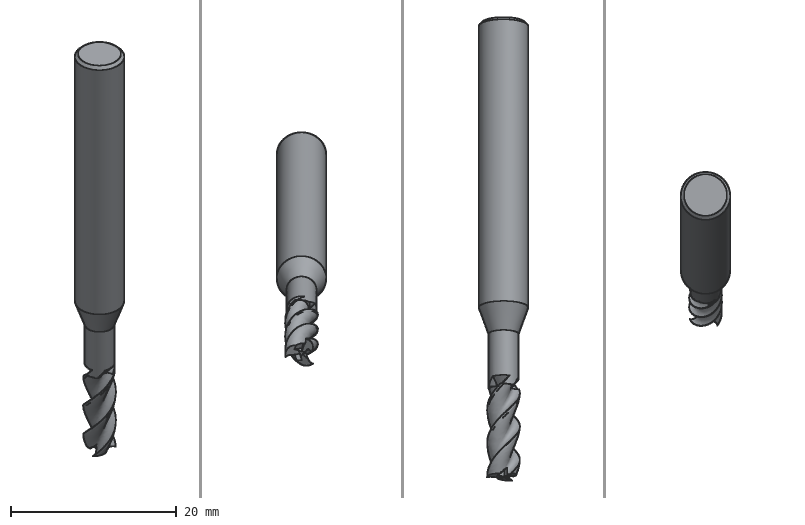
import cadquery as cq
import math

total_length = 57.0
shank_radius = 2.99
shank_chamfer = 0.4
neck_radius = 1.8
cutter_radius = 2.0

cutter_length = 11.25
neck_top = 17.95
shank_bottom = 21.25

flute_count = 3
helix_angle = 45.0
flute_spacing = 360.0 / flute_count
first_edge_angle = 60.0
lead = 2 * math.pi * cutter_radius / math.tan(math.radians(helix_angle))
core_radius = 0.9

land_span = 12.0
land_heel_radius = 1.95
relief_middle_angle = 42.0
relief_middle_radius = 1.6
relief_heel_angle = 74.0
relief_heel_radius = 1.1
flute_floor_angle = 98.0

runout_length = 1.1
runout_land_radius = 2.0

gash_depth = 0.95
gash_width = 1.0
gash_start = 0.2

end_relief_height = 0.2


def polar(radius, angle):
    """Point in the plane across the axis; the angle is in degrees."""
    turn = math.radians(angle)
    return (radius * math.cos(turn), radius * math.sin(turn))


def tooth_angles():
    """Angles of the cutting edges at the tip."""
    return [first_edge_angle + i * flute_spacing for i in range(flute_count)]


def fluted_bar(start_height, length, back_radius):
    """Twisted bar with the flute cross-section, continuing the helix at any height.

    back_radius is the radius halfway along the relief of each tooth.
    """
    start_turn = 360.0 * start_height / lead
    edge_angles = [angle + start_turn for angle in tooth_angles()]
    section = cq.Workplane("XY", origin=(0, 0, start_height)).moveTo(*polar(cutter_radius, edge_angles[0]))
    for edge in edge_angles:
        section = (
            section.lineTo(*polar(land_heel_radius, edge + land_span))
            .threePointArc(
                polar(back_radius, edge + relief_middle_angle),
                polar(relief_heel_radius, edge + relief_heel_angle),
            )
            .threePointArc(
                polar(core_radius, edge + flute_floor_angle),
                polar(cutter_radius, edge + flute_spacing),
            )
        )
    return section.close().twistExtrude(length, 360.0 * length / lead)


def end_wedge(angle, corners):
    """Wedge beside one end cutting edge; corners are (offset behind the edge, height)."""
    wedge = (
        cq.Workplane("YZ", origin=(gash_start, 0, 0))
        .polyline(corners)
        .close()
        .extrude(cutter_radius)
    )
    return wedge.rotate((0, 0, 0), (0, 0, 1), angle)


def end_gash(angle):
    """Chip space in front of one end cutting edge, steep along the edge."""
    return end_wedge(angle, [(0, 0), (0, gash_depth), (-gash_width, 0)])


def end_relief(angle):
    """Clearance behind one end cutting edge, rising from the edge."""
    return end_wedge(angle, [(0, 0), (cutter_radius, 0), (cutter_radius, end_relief_height)])


def make_cutter():
    """Fluted cutting head with gashed and relieved end teeth."""
    head = fluted_bar(0, cutter_length, relief_middle_radius)
    for angle in tooth_angles():
        head = head.cut(end_gash(angle)).cut(end_relief(angle))
    return head


def flute_runout():
    """Ends of the flutes, whose floor rises from the core to the neck surface."""
    runout_top = cutter_length + runout_length
    rim = shank_radius
    sloped_ring = (
        cq.Workplane("XZ")
        .polyline([
            (core_radius, cutter_length),
            (rim, cutter_length),
            (rim, runout_top),
            (neck_radius, runout_top),
        ])
        .close()
        .revolve(360, (0, 0, 0), (0, 1, 0))
    )
    return sloped_ring.cut(fluted_bar(cutter_length, runout_length, runout_land_radius))


def make_shank():
    """Chamfered shank, taper and neck, with the flutes running out into the neck."""
    shank = (
        cq.Workplane("XZ")
        .polyline([
            (0, cutter_length),
            (neck_radius, cutter_length),
            (neck_radius, neck_top),
            (shank_radius, shank_bottom),
            (shank_radius, total_length - shank_chamfer),
            (shank_radius - shank_chamfer, total_length),
            (0, total_length),
        ])
        .close()
        .revolve(360, (0, 0, 0), (0, 1, 0))
    )
    return shank.cut(flute_runout())


cutter = make_cutter()
shank = make_shank()

result = cq.Compound.makeCompound([cutter.val(), shank.val()])